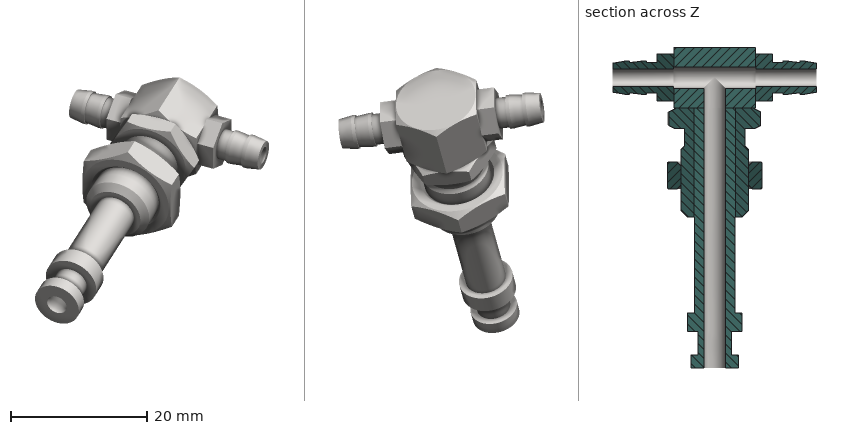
import cadquery as cq
import math


TEE_FLATS = 12.0
TEE_LENGTH = 9.0
TEE_FACE_DIAMETER = 11.9

BARB_HEX_FLATS = 7.0
BARB_HEX_LENGTH = 2.5
BARB_ROOT_RADIUS = 2.25
BARB_RIDGE_RADIUS = 2.5
BARB_TIP_RADIUS = 2.15
BARB_RIDGE_WIDTH = 0.5
BARB_BORE = 2.5
BARB_TIP_X = 15.0
OUTER_RIDGE_X = 12.5
INNER_RIDGE_X = 10.0

GLAND_FLATS = 12.0
GLAND_HEX_LENGTH = 3.0
GLAND_FACE_DIAMETER = 11.6
GLAND_TURN = 33
NECK_RADIUS = 4.5
NECK_LENGTH = 2.5
SHANK_RADIUS = 5.0
SHANK_LENGTH = 10.5
SHANK_END_CHAMFER = 1.0

NUT_FLATS = 14.0
NUT_LENGTH = 4.0
NUT_FACE_DIAMETER = 13.6
NUT_TO_NECK = 2.3
NUT_BORE_CHAMFER = 0.5

TUBE_DIAMETER = 6.0
TUBE_BORE = 3.1
COLLAR_RADIUS = 4.0
COLLAR_LENGTH = 2.8
GROOVE_RADIUS = 2.5
END_DISC_RADIUS = 3.5
END_DISC_LENGTH = 2.0
GROOVE_LENGTH = 3.4
OVERALL_LENGTH = 47.2

CORNER_CHAMFER_ANGLE = 27

TEE_BACK_Y = TEE_LENGTH / 2
TEE_FRONT_Y = -TEE_LENGTH / 2
GLAND_HEX_FRONT_Y = TEE_FRONT_Y - GLAND_HEX_LENGTH
NECK_FRONT_Y = GLAND_HEX_FRONT_Y - NECK_LENGTH
SHANK_FRONT_Y = NECK_FRONT_Y - SHANK_LENGTH
NUT_BACK_Y = NECK_FRONT_Y - NUT_TO_NECK
NUT_FRONT_Y = NUT_BACK_Y - NUT_LENGTH
END_Y = TEE_BACK_Y - OVERALL_LENGTH
DISC_BACK_Y = END_Y + END_DISC_LENGTH
COLLAR_FRONT_Y = DISC_BACK_Y + GROOVE_LENGTH
COLLAR_BACK_Y = COLLAR_FRONT_Y + COLLAR_LENGTH


def corner_diameter(flats):
    return flats / math.cos(math.radians(30))


def turned(outline):
    """Revolve an outline of (y, radius) points around the Y axis."""
    return cq.Workplane("YZ").polyline(outline).close().revolve(360, (0, 0), (1, 0))


def rod(radius, back_y, front_y):
    return turned([(back_y, 0), (back_y, radius), (front_y, radius), (front_y, 0)])


def hexagon(flats, back_y, front_y, face_diameter):
    """Hexagonal bar along Y, corners at +Z and -Z, with its corners chamfered at both ends."""
    corner_radius = corner_diameter(flats) / 2
    face_radius = face_diameter / 2
    depth = (corner_radius - face_radius) * math.tan(math.radians(CORNER_CHAMFER_ANGLE))
    bar = (
        cq.Workplane("XZ", origin=(0, back_y, 0))
        .polygon(6, 2 * corner_radius)
        .extrude(back_y - front_y)
        .rotate((0, 0, 0), (0, 1, 0), 30)
    )
    envelope = turned([
        (back_y, 0),
        (back_y, face_radius),
        (back_y - depth, corner_radius),
        (front_y + depth, corner_radius),
        (front_y, face_radius),
        (front_y, 0),
    ])
    return bar.intersect(envelope)


def make_tee():
    block = hexagon(TEE_FLATS, TEE_BACK_Y, TEE_FRONT_Y, TEE_FACE_DIAMETER)
    cross_bore = cq.Workplane("YZ").circle(TUBE_BORE / 2).extrude(TEE_FLATS / 2, both=True)
    return block.cut(cross_bore).cut(rod(TUBE_BORE / 2, 0, TEE_FRONT_Y))


def make_barb(turn):
    """Barb on the +X side of the tee, turned around Z by the given angle."""
    hex_start_x = TEE_FLATS / 2
    hex_end_x = hex_start_x + BARB_HEX_LENGTH
    collar = (
        cq.Workplane("YZ", origin=(hex_start_x, 0, 0))
        .polygon(6, corner_diameter(BARB_HEX_FLATS))
        .extrude(BARB_HEX_LENGTH)
        .rotate((0, 0, 0), (1, 0, 0), 30)
    )
    stem = (
        cq.Workplane("XZ")
        .polyline([
            (hex_end_x, 0),
            (hex_end_x, BARB_ROOT_RADIUS),
            (INNER_RIDGE_X, BARB_ROOT_RADIUS),
            (INNER_RIDGE_X, BARB_RIDGE_RADIUS),
            (INNER_RIDGE_X + BARB_RIDGE_WIDTH, BARB_RIDGE_RADIUS),
            (OUTER_RIDGE_X, BARB_ROOT_RADIUS),
            (OUTER_RIDGE_X, BARB_RIDGE_RADIUS),
            (OUTER_RIDGE_X + BARB_RIDGE_WIDTH, BARB_RIDGE_RADIUS),
            (BARB_TIP_X, BARB_TIP_RADIUS),
            (BARB_TIP_X, 0),
        ])
        .close()
        .revolve(360, (0, 0), (1, 0))
    )
    bore = cq.Workplane("YZ").circle(BARB_BORE / 2).extrude(BARB_TIP_X)
    return collar.union(stem).cut(bore).rotate((0, 0, 0), (0, 0, 1), turn)


def make_gland():
    head = hexagon(GLAND_FLATS, TEE_FRONT_Y, GLAND_HEX_FRONT_Y, GLAND_FACE_DIAMETER)
    shank = turned([
        (GLAND_HEX_FRONT_Y, 0),
        (GLAND_HEX_FRONT_Y, NECK_RADIUS),
        (NECK_FRONT_Y, NECK_RADIUS),
        (NECK_FRONT_Y - (SHANK_RADIUS - NECK_RADIUS), SHANK_RADIUS),
        (SHANK_FRONT_Y + SHANK_END_CHAMFER, SHANK_RADIUS),
        (SHANK_FRONT_Y, SHANK_RADIUS - SHANK_END_CHAMFER),
        (SHANK_FRONT_Y, 0),
    ])
    tube_hole = rod(TUBE_DIAMETER / 2, TEE_FRONT_Y, SHANK_FRONT_Y)
    return head.union(shank).cut(tube_hole).rotate((0, 0, 0), (0, 1, 0), -GLAND_TURN)


def make_nut():
    bore = turned([
        (NUT_BACK_Y, 0),
        (NUT_BACK_Y, SHANK_RADIUS + NUT_BORE_CHAMFER),
        (NUT_BACK_Y - NUT_BORE_CHAMFER, SHANK_RADIUS),
        (NUT_FRONT_Y + NUT_BORE_CHAMFER, SHANK_RADIUS),
        (NUT_FRONT_Y, SHANK_RADIUS + NUT_BORE_CHAMFER),
        (NUT_FRONT_Y, 0),
    ])
    return hexagon(NUT_FLATS, NUT_BACK_Y, NUT_FRONT_Y, NUT_FACE_DIAMETER).cut(bore)


def make_tube():
    """Tube through the gland up to the tee, with a collar and an end disc at its free end."""
    bore_radius = TUBE_BORE / 2
    return turned([
        (TEE_FRONT_Y, bore_radius),
        (TEE_FRONT_Y, TUBE_DIAMETER / 2),
        (COLLAR_BACK_Y, TUBE_DIAMETER / 2),
        (COLLAR_BACK_Y, COLLAR_RADIUS),
        (COLLAR_FRONT_Y, COLLAR_RADIUS),
        (COLLAR_FRONT_Y, GROOVE_RADIUS),
        (DISC_BACK_Y, GROOVE_RADIUS),
        (DISC_BACK_Y, END_DISC_RADIUS),
        (END_Y, END_DISC_RADIUS),
        (END_Y, bore_radius),
    ])


tee = make_tee()
gland = make_gland()
nut = make_nut()
tube = make_tube()
barbs = [make_barb(turn) for turn in (0, 180)]

result = cq.Compound.makeCompound(
    [tee.val(), gland.val(), nut.val(), tube.val()] + [barb.val() for barb in barbs]
)